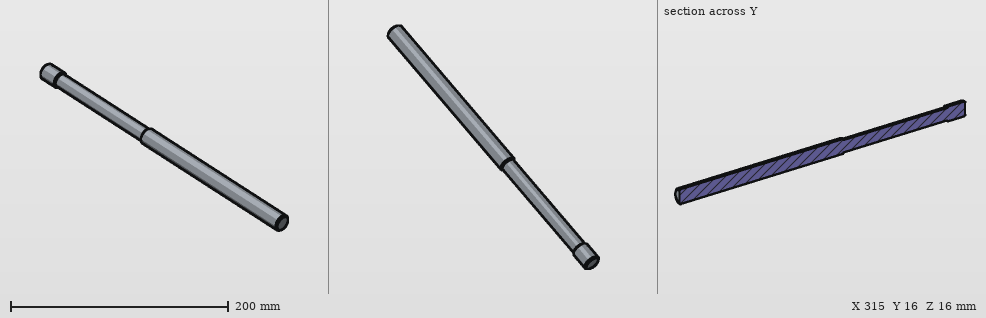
import cadquery as cq

length = 315.0
body_diameter = 16.0
neck_diameter = 13.5

head_length = 20.2
neck_end = 133.5
end_chamfer = 1.3
shoulder_chamfer = 1.2


def cylinder(start, end, diameter):
    """Round bar along X between two distances from the -X end."""
    plane = cq.Workplane("YZ", origin=(start - length / 2, 0, 0))
    return plane.circle(diameter / 2).extrude(end - start)


head = cylinder(0, head_length, body_diameter)
head = head.faces("<X").chamfer(end_chamfer).faces(">X").chamfer(shoulder_chamfer)

shank = cylinder(neck_end, length, body_diameter)
shank = shank.faces(">X").chamfer(end_chamfer).faces("<X").chamfer(shoulder_chamfer)

neck = cylinder(head_length, neck_end, neck_diameter)

result = head.union(neck).union(shank)